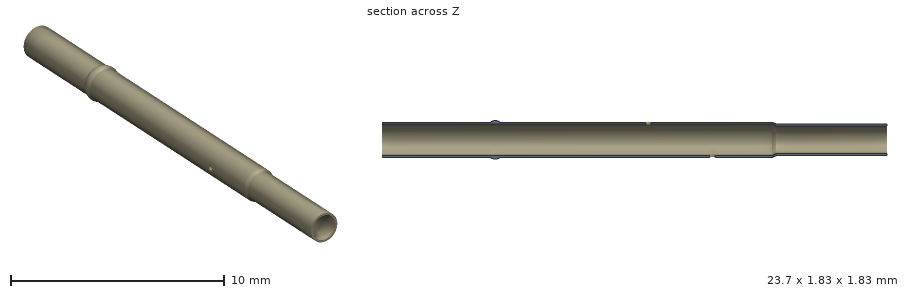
import cadquery as cq

length = 23.7
body_diameter = 1.67
tail_diameter = 1.5
body_bore_diameter = 1.46
tail_bore_diameter = 1.27

ring_diameter = 1.83
ring_start = 5.08
ring_width = 0.45

taper_start = 18.3
taper_length = 0.2
taper_end = taper_start + taper_length

hole_diameter = 0.27
front_hole_x = 15.5
back_hole_x = 12.5


def outer_tube():
    """Solid of revolution with the body, press ring, taper and tail."""
    body_radius = body_diameter / 2
    tail_radius = tail_diameter / 2
    ring_crest = (ring_start + ring_width / 2, ring_diameter / 2)
    profile = (
        cq.Workplane("XY")
        .lineTo(0, body_radius)
        .lineTo(ring_start, body_radius)
        .threePointArc(ring_crest, (ring_start + ring_width, body_radius))
        .lineTo(taper_start, body_radius)
        .lineTo(taper_end, tail_radius)
        .lineTo(length, tail_radius)
        .lineTo(length, 0)
        .close()
    )
    return profile.revolve(360, (0, 0, 0), (1, 0, 0))


def bore():
    """Through bore, narrowing alongside the outer taper."""
    body_bore_radius = body_bore_diameter / 2
    tail_bore_radius = tail_bore_diameter / 2
    profile = (
        cq.Workplane("XY")
        .lineTo(0, body_bore_radius)
        .lineTo(taper_start, body_bore_radius)
        .lineTo(taper_end, tail_bore_radius)
        .lineTo(length, tail_bore_radius)
        .lineTo(length, 0)
        .close()
    )
    return profile.revolve(360, (0, 0, 0), (1, 0, 0))


def wall_hole(x, side):
    """Radial hole from the axis out through the wall; side is -1 for -Y, +1 for +Y."""
    start = cq.Vector(x, 0, 0)
    direction = cq.Vector(0, side, 0)
    return cq.Solid.makeCylinder(hole_diameter / 2, body_diameter, start, direction)


result = outer_tube().cut(bore())
result = result.cut(wall_hole(front_hole_x, -1))
result = result.cut(wall_hole(back_hole_x, 1))